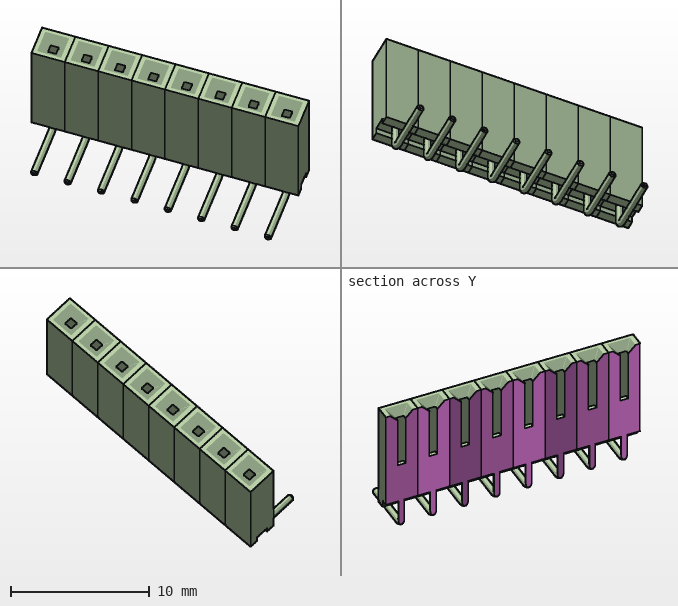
import cadquery as cq

length = 20.32
cell_count = 8
pitch = length / cell_count
overall_depth = 5.6
overall_height = 10.35

block_depth = 2.4
block_height = 8.5
notch_width = 1.04
notch_height = 0.5

mouth_size = 1.8
hole_size = 0.6
funnel_depth = (mouth_size - hole_size) / 2
hole_depth = 4.06
socket_edge_radius = 0.05

pin_diameter = 0.5
bend_radius = 0.5
tip_chamfer = 0.1
pin_drop = overall_height - block_height - pin_diameter / 2
pin_tip_y = block_depth / 2 - overall_depth


def make_block():
    """Square-cornered block with a notch along X through its underside."""
    block = cq.Workplane("XY").box(pitch, block_depth, block_height, centered=(True, True, False))
    notch = cq.Workplane("XY").box(pitch, notch_width, notch_height, centered=(True, True, False))
    return block.cut(notch)


def make_socket():
    """Space taken out of the block by the funnel and the hole below it, corner edges rounded."""
    funnel = (
        cq.Workplane("XY", origin=(0, 0, block_height))
        .rect(mouth_size, mouth_size)
        .workplane(offset=-funnel_depth)
        .rect(hole_size, hole_size)
        .loft(ruled=True)
    )
    hole = (
        cq.Workplane("XY", origin=(0, 0, block_height - funnel_depth))
        .rect(hole_size, hole_size)
        .extrude(-hole_depth)
    )
    return funnel.union(hole).edges("not #Z").fillet(socket_edge_radius)


def make_housing():
    """Block with its socket, the socket's rim rounded over."""
    housing = make_block().cut(make_socket())
    rim_edges = housing.faces(">Z").val().innerWires()[0].Edges()
    return housing.newObject(rim_edges).fillet(socket_edge_radius)


def make_pin():
    """Round pin that drops from the notch roof, bends and runs toward -Y to a chamfered tip."""
    drop_leg = (
        cq.Workplane("XY", origin=(0, 0, notch_height))
        .circle(pin_diameter / 2)
        .extrude(-(notch_height + pin_drop - bend_radius))
    )
    bend = (
        cq.Workplane("XY", origin=(0, 0, bend_radius - pin_drop))
        .circle(pin_diameter / 2)
        .revolve(90, (0, -bend_radius, 0), (-1, -bend_radius, 0))
    )
    tip_leg = (
        cq.Workplane("XZ", origin=(0, -bend_radius, -pin_drop))
        .circle(pin_diameter / 2)
        .extrude(-bend_radius - pin_tip_y)
        .faces("<Y")
        .chamfer(tip_chamfer)
    )
    return drop_leg.union(bend).union(tip_leg)


def make_cell():
    """One solid: the housing with the pin fixed to its notch roof."""
    return make_housing().union(make_pin()).solids()


cell = make_cell()
first_cell_x = (pitch - length) / 2
cells = []
for index in range(cell_count):
    cells.append(cell.translate((first_cell_x + index * pitch, 0, 0)))

result = cq.Compound.makeCompound([placed_cell.val() for placed_cell in cells])